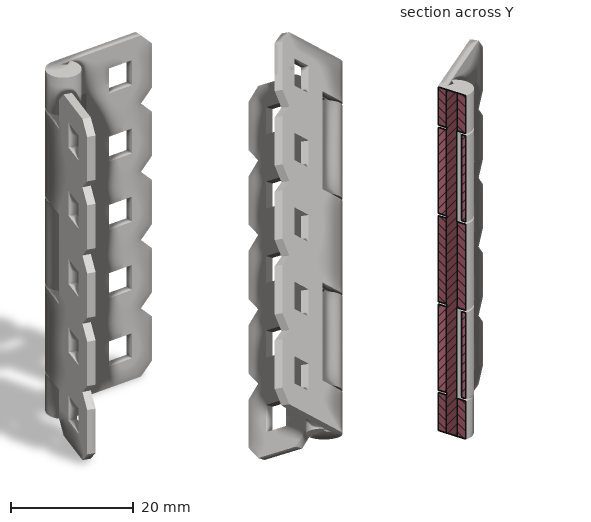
import cadquery as cq
import math

hinge_height = 63.5
pin_radius = 1.5
sheet_thickness = 1.45
knuckle_radius = pin_radius + sheet_thickness
leaf_length = 19.05
opening_angle = 106.0

root_angle = 270.0
tip_clearance_angle = 0.5
tip_angle = tip_clearance_angle - math.degrees(math.asin(pin_radius / knuckle_radius))
middle_angle = (root_angle + tip_angle) / 2

knuckle_length = 15.95
knuckle_gap = 0.4
knuckle_pitch = knuckle_length + knuckle_gap
notch_height = knuckle_length + 2 * knuckle_gap
notch_edge = 5.85

hole_count = 5
hole_pitch = hinge_height / hole_count
hole_size = 4.65
hole_edge_distance = 6.35
bevel = 2.2


def polar(radius, angle):
    """Point at a distance from the pin axis, with the angle in degrees."""
    return (radius * math.cos(math.radians(angle)), radius * math.sin(math.radians(angle)))


def make_sheet():
    """Full-height leaf along +X, with its edge curled clockwise round the pin."""
    return (
        cq.Workplane("XY")
        .workplane(offset=-hinge_height / 2)
        .moveTo(leaf_length, -knuckle_radius)
        .lineTo(*polar(knuckle_radius, root_angle))
        .threePointArc(polar(knuckle_radius, middle_angle), polar(knuckle_radius, tip_angle))
        .lineTo(*polar(pin_radius, tip_angle))
        .threePointArc(polar(pin_radius, middle_angle), polar(pin_radius, root_angle))
        .lineTo(leaf_length, -pin_radius)
        .close()
        .extrude(hinge_height)
    )


def block(x_start, x_end, z_center, height):
    """Cutting block deep enough in Y to pass through plate and curl."""
    return cq.Workplane("XY").box(x_end - x_start, 4 * knuckle_radius, height).translate(
        ((x_start + x_end) / 2, 0, z_center)
    )


def diamond(x, z):
    """Cutting prism that leaves a V-notch on an edge or a bevel on a corner."""
    return (
        cq.Workplane("XZ", origin=(x, 0, z))
        .polyline([(-bevel, 0), (0, -bevel), (bevel, 0), (0, bevel)])
        .close()
        .extrude(2 * knuckle_radius, both=True)
    )


def make_leaf():
    """Curled sheet with its mounting holes and notched free edge."""
    leaf = make_sheet()
    hole_x = leaf_length - hole_edge_distance
    for index in range(hole_count):
        z = (index - (hole_count - 1) / 2) * hole_pitch
        leaf = leaf.cut(block(hole_x - hole_size / 2, hole_x + hole_size / 2, z, hole_size))
    for index in range(hole_count + 1):
        leaf = leaf.cut(diamond(leaf_length, index * hole_pitch - hinge_height / 2))
    return leaf


def cut_knuckle_notch(leaf, z_center):
    """Clear the space for a knuckle of the other leaf."""
    return leaf.cut(block(-2 * knuckle_radius, notch_edge, z_center, notch_height))


def make_fixed_leaf():
    """Leaf with two knuckles, and beveled corners beside its end notches."""
    leaf = make_leaf()
    for index in (-1, 0, 1):
        leaf = cut_knuckle_notch(leaf, index * 2 * knuckle_pitch)
    for side in (-1, 1):
        leaf = leaf.cut(diamond(notch_edge, side * hinge_height / 2))
    return leaf


def make_swung_leaf():
    """Leaf with a middle knuckle and two short end knuckles, swung open about the pin."""
    leaf = make_leaf()
    for side in (-1, 1):
        leaf = cut_knuckle_notch(leaf, side * knuckle_pitch)
    return leaf.mirror("XZ").rotate((0, 0, 0), (0, 0, 1), opening_angle)


def make_pin():
    """Plain pin, flush with both ends of the hinge."""
    return cq.Workplane("XY").circle(pin_radius).extrude(hinge_height / 2, both=True)


fixed_leaf = make_fixed_leaf()
swung_leaf = make_swung_leaf()
pin = make_pin()

bodies = [fixed_leaf, swung_leaf, pin]
result = cq.Compound.makeCompound([body.solids().val() for body in bodies])